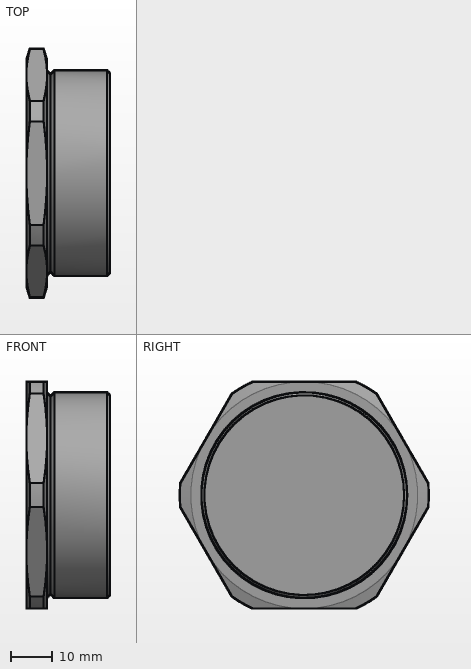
import cadquery as cq
import math

across_flats = 55.0
corner_diameter = 60.5
head_thickness = 5.0
corner_bevel_depth = 0.85

total_length = 20.3
plug_diameter = 50.0
plug_end_chamfer = 0.8

neck_diameter = 48.0
neck_end = 5.85
plug_start = 6.8
head_side_diameter = 49.8
slope_break = 5.5
slope_break_diameter = 48.75

flat_radius = across_flats / 2
corner_radius = corner_diameter / 2
plug_radius = plug_diameter / 2


def revolve_about_x(points):
    """Turn an (x, radius) outline about the X axis."""
    return cq.Workplane("XY").polyline(points).close().revolve(360, (0, 0, 0), (1, 0, 0))


def make_head():
    """Hexagon with corners on +Y and -Y, rounded and bevelled on both faces."""
    hexagon = (
        cq.Workplane("YZ")
        .polygon(6, across_flats / math.cos(math.pi / 6))
        .extrude(head_thickness)
    )
    bevel_envelope = revolve_about_x([
        (0, 0),
        (0, flat_radius),
        (corner_bevel_depth, corner_radius),
        (head_thickness - corner_bevel_depth, corner_radius),
        (head_thickness, flat_radius),
        (head_thickness, 0),
    ])
    return hexagon.intersect(bevel_envelope)


def make_plug():
    """Solid plug with a relief groove next to the head and a chamfered end."""
    return revolve_about_x([
        (0, 0),
        (0, head_side_diameter / 2),
        (head_thickness, head_side_diameter / 2),
        (slope_break, slope_break_diameter / 2),
        (neck_end, neck_diameter / 2),
        (plug_start, plug_radius),
        (total_length - plug_end_chamfer, plug_radius),
        (total_length, plug_radius - plug_end_chamfer),
        (total_length, 0),
    ])


result = make_head().union(make_plug())